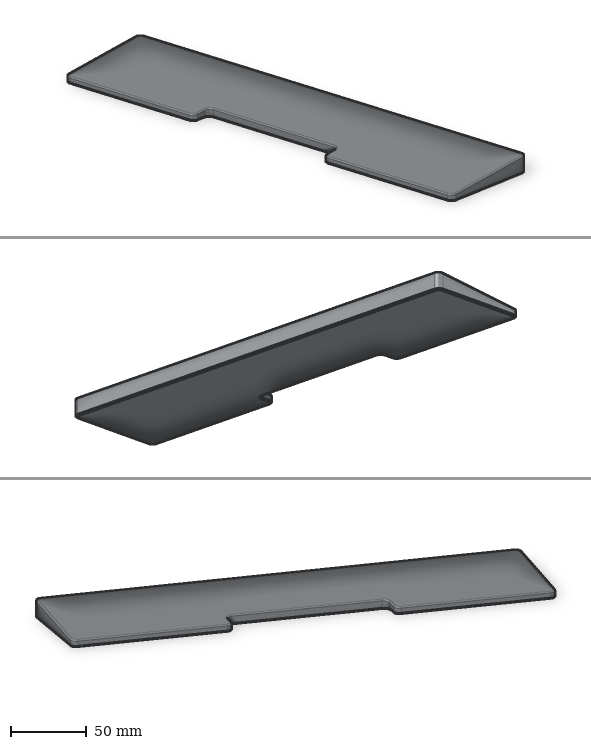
import cadquery as cq
import math

length = 338.8
depth = 75.0
height = 13.0
slope = math.radians(6.0)

notch_width = 113.0
notch_depth = 15.0

corner_radius = 4.0
top_edge_radius = 1.0
bottom_chamfer = 1.0

rounding_loss = top_edge_radius * (1 + math.tan(slope) - 1 / math.cos(slope))
back_height = height + rounding_loss
front_height = back_height - depth * math.tan(slope)

front_y = -depth / 2
back_y = depth / 2


def make_wedge():
    """Side profile with a flat bottom and sloping top, extruded along X."""
    return (
        cq.Workplane("YZ")
        .polyline([(front_y, 0), (back_y, 0), (back_y, back_height), (front_y, front_height)])
        .close()
        .extrude(length / 2, both=True)
    )


def make_notch():
    """Block that removes the notch through the full height."""
    return (
        cq.Workplane("XY")
        .center(0, front_y)
        .rect(notch_width, 2 * notch_depth)
        .extrude(back_height)
    )


def round_corners(body):
    """Round the eight upright corners of the outline."""
    return body.edges("|Z").fillet(corner_radius)


def chamfer_bottom_rim(body):
    """Bevel the full rim of the flat bottom."""
    return body.faces("<Z").edges().chamfer(bottom_chamfer)


def round_top_rim(body):
    """Round the full rim of the sloping top."""
    top_normal = cq.Vector(0, -math.sin(slope), math.cos(slope))
    sloping_top = cq.selectors.DirectionMinMaxSelector(top_normal)
    return body.faces(sloping_top).edges().fillet(top_edge_radius)


notched_wedge = make_wedge().cut(make_notch())
rounded_outline = round_corners(notched_wedge)
result = round_top_rim(chamfer_bottom_rim(rounded_outline))